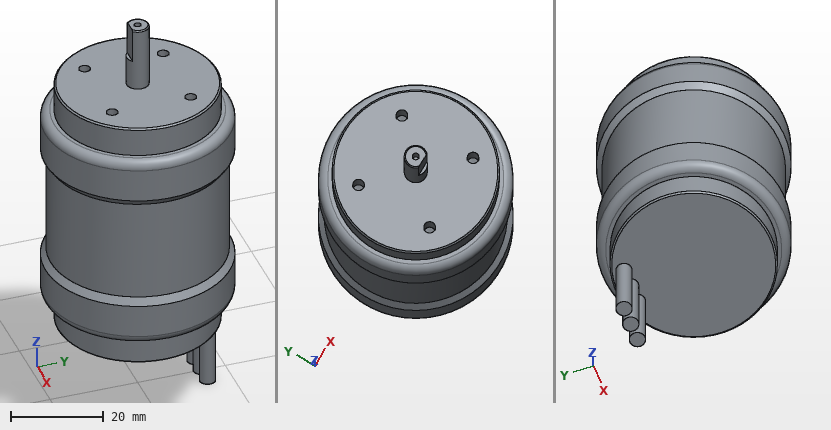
import cadquery as cq
import math

overall_height = 92.5
wire_length = 17.0
shaft_length = 15.0
case_bottom = wire_length
case_top = overall_height - shaft_length

cap_radius = 18.0
upper_cap_height = 6.8
lower_cap_height = 6.75
cap_chamfer = 0.4
band_radius = 21.0
band_height = 11.5
band_fillet = 2.0
band_bevel_height = 1.7
barrel_radius = 19.8

screw_hole_diameter = 2.5
screw_hole_spacing = 17.9
screw_hole_depth = 5.55
drill_point_angle = 118.0

shaft_radius = 2.5
shaft_chamfer = 0.3
flat_offset = 1.8
flat_length = 8.0
center_hole_diameter = 1.5
center_hole_depth = 3.7

wire_count = 3
wire_diameter = 3.5
wire_pitch = 4.1
wire_row_y = 14.5


def make_case():
    """Turned case: lower cap, lower band, barrel, upper band and upper cap."""
    lower_band_bottom = case_bottom + lower_cap_height
    lower_band_top = lower_band_bottom + band_height
    upper_band_top = case_top - upper_cap_height
    upper_band_bottom = upper_band_top - band_height
    return (
        cq.Workplane("XZ")
        .moveTo(0, case_bottom)
        .lineTo(cap_radius - cap_chamfer, case_bottom)
        .lineTo(cap_radius, case_bottom + cap_chamfer)
        .lineTo(cap_radius, lower_band_bottom)
        .lineTo(band_radius - band_fillet, lower_band_bottom)
        .radiusArc((band_radius, lower_band_bottom + band_fillet), -band_fillet)
        .lineTo(band_radius, lower_band_top - band_bevel_height)
        .lineTo(barrel_radius, lower_band_top)
        .lineTo(barrel_radius, upper_band_bottom)
        .lineTo(band_radius, upper_band_bottom + band_bevel_height)
        .lineTo(band_radius, upper_band_top - band_fillet)
        .radiusArc((band_radius - band_fillet, upper_band_top), -band_fillet)
        .lineTo(cap_radius, upper_band_top)
        .lineTo(cap_radius, case_top - cap_chamfer)
        .lineTo(cap_radius - cap_chamfer, case_top)
        .lineTo(0, case_top)
        .close()
        .revolve(360, (0, 0, 0), (0, 1, 0))
    )


def make_screw_holes():
    """Four drilled holes on a square, each a cylinder with a conical bottom."""
    hole_radius = screw_hole_diameter / 2
    point_depth = hole_radius / math.tan(math.radians(drill_point_angle / 2))
    drill = (
        cq.Workplane("XZ")
        .moveTo(0, case_top)
        .lineTo(hole_radius, case_top)
        .lineTo(hole_radius, case_top - screw_hole_depth)
        .lineTo(0, case_top - screw_hole_depth - point_depth)
        .close()
        .revolve(360, (0, 0, 0), (0, 1, 0))
        .val()
    )
    return (
        cq.Workplane("XY")
        .rarray(screw_hole_spacing, screw_hole_spacing, 2, 2)
        .eachpoint(lambda place: drill.moved(place))
    )


def make_shaft():
    """Output shaft with a chamfered tip, a driving flat on -Y and a center hole."""
    shaft = (
        cq.Workplane("XY")
        .workplane(offset=case_top)
        .circle(shaft_radius)
        .extrude(shaft_length)
        .faces(">Z")
        .chamfer(shaft_chamfer)
    )
    flat_cutter = (
        cq.Workplane("XY")
        .workplane(offset=overall_height - flat_length)
        .center(0, -flat_offset - shaft_radius / 2)
        .rect(2 * shaft_radius, shaft_radius)
        .extrude(flat_length)
    )
    center_hole = (
        cq.Workplane("XY")
        .workplane(offset=overall_height - center_hole_depth)
        .circle(center_hole_diameter / 2)
        .extrude(center_hole_depth)
    )
    return shaft.cut(flat_cutter).cut(center_hole)


def make_motor():
    """Case and output shaft as one body."""
    return make_case().cut(make_screw_holes()).union(make_shaft())


def make_wire(x):
    """Straight round wire hanging from the bottom of the case."""
    return cq.Workplane("XY").center(x, wire_row_y).circle(wire_diameter / 2).extrude(wire_length)


motor = make_motor()

wires = []
for index in range(wire_count):
    wire_x = (index - (wire_count - 1) / 2) * wire_pitch
    wires.append(make_wire(wire_x).val())

result = cq.Compound.makeCompound([motor.val(), *wires])